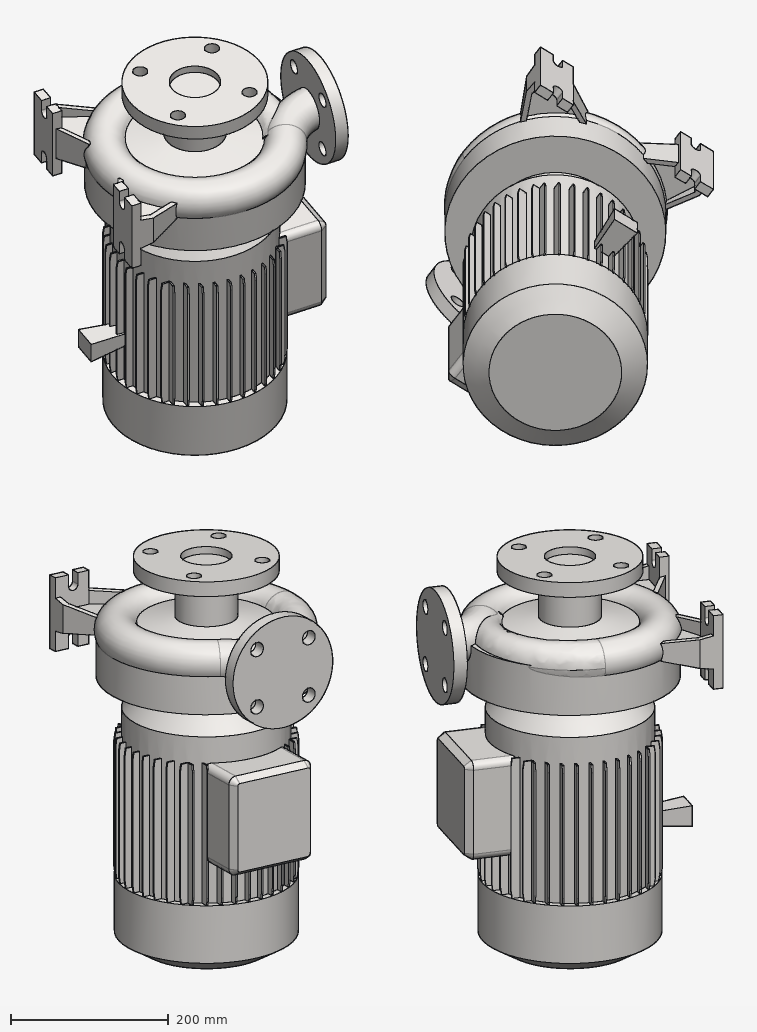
import cadquery as cq
import math


suction_face_z = 100.0
suction_flange_d = 185.0
suction_flange_thick = 20.0
suction_bolt_circle_d = 145.0
suction_bore_d = 65.0
suction_bore_depth = 10.0
suction_neck_r = 40.0

discharge_face_y = 180.0
discharge_flange_d = 150.0
discharge_flange_thick = 18.0
discharge_bolt_circle_d = 110.0

bolt_hole_d = 19.0
bolt_count = 4
bolt_start_angle = 45.0

volute_r = 114.0
tube_r = 28.0
volute_start_angle = 180.0
taper_end_angle = 60.0
taper_sections = 5
taper_path_loss = 10.7
taper_tube_loss = 7.1

casing_r = 140.0
casing_cone_top_z = 19.0
casing_edge_z = 2.5
casing_bottom_z = -62.0
collar_r = 87.5
collar_bottom_z = -75.0
motor_core_r = 107.5
motor_shoulder_z = -104.5
fin_top_z = -140.0
fin_bottom_z = -330.0
cowl_r = 116.8
cowl_bottom_z = -408.0
motor_end_r = 84.0
motor_bottom_z = -428.0

fin_count = 40
fin_thick = 2.2
fin_tip_r = 117.3
fin_bevel_depth = 1.5
fin_bevel_length = 10.0

foot_face_y = -160.0
foot_thick = 13.0
foot_height = 100.0
foot_inner_x = 82.5
foot_outer_x = 133.0
foot_slot_x = 106.0
foot_slot_width = 14.0
foot_slot_depth = 22.5
rib_thick = 8.0
rib_half_height_at_face = 24.7
rib_half_height_at_root = 8.0
rib_root_y = -60.0
outer_rib_bend_y = -129.0
outer_rib_root_x = 100.0
inner_rib_plate_y = -147.0
inner_rib_root_x = 40.0
inner_rib_root_y = -123.0
web_thick = 8.0

box_width = 123.0
box_top_z = -140.0
box_height = 134.0
box_root_y = 80.0
box_face_y = 159.0
box_corner_r = 10.0
box_bevel_depth = 10.0
box_bevel_inset = 7.0

pad_z = -266.0
pad_root_y = -100.0
pad_face_y = -157.5
pad_face_width = 35.0
pad_face_height = 28.0
pad_root_width = 25.0
pad_root_height = 18.0


def turned_body():
    """Casing, collar, motor core and fan cowl as one revolved profile."""
    profile = [
        (0, casing_cone_top_z),
        (suction_neck_r, casing_cone_top_z),
        (casing_r, casing_edge_z),
        (casing_r, casing_bottom_z),
        (collar_r, casing_bottom_z),
        (collar_r, collar_bottom_z),
        (motor_core_r, motor_shoulder_z),
        (motor_core_r, fin_bottom_z),
        (cowl_r, fin_bottom_z),
        (cowl_r, cowl_bottom_z),
        (motor_end_r, motor_bottom_z),
        (0, motor_bottom_z),
    ]
    return cq.Workplane("XZ").polyline(profile).close().revolve(360, (0, 0, 0), (0, 1, 0))


def drill_flange(flange, bolt_circle_d):
    """Drill the bolt holes through a flange from its outer face."""
    return (
        flange.faces(">Z")
        .workplane(origin=(0, 0, 0))
        .polarArray(bolt_circle_d / 2, bolt_start_angle, 360, bolt_count)
        .hole(bolt_hole_d)
    )


def blank_flange(flange_d, thickness):
    """Plain disc lying below the XY plane."""
    return cq.Workplane("XY").circle(flange_d / 2).extrude(-thickness)


def suction_nozzle():
    flange = blank_flange(suction_flange_d, suction_flange_thick)
    flange = drill_flange(flange, suction_bolt_circle_d)
    neck = cq.Workplane("XY").circle(suction_neck_r).extrude(-suction_face_z)
    bore = cq.Workplane("XY").circle(suction_bore_d / 2).extrude(-suction_bore_depth)
    return flange.union(neck).cut(bore).translate((0, 0, suction_face_z))


def discharge_flange():
    flange = blank_flange(discharge_flange_d, discharge_flange_thick)
    flange = drill_flange(flange, discharge_bolt_circle_d)
    return flange.rotate((0, 0, 0), (1, 0, 0), -90).translate((0, discharge_face_y, 0))


def tube_section(angle, path_r, section_r):
    """Circular tube section in the plane that holds Z and the given direction."""
    a = math.radians(angle)
    outward = cq.Vector(math.cos(a), math.sin(a), 0)
    travel = (math.sin(a), -math.cos(a), 0)
    plane = cq.Plane(origin=outward * path_r, xDir=outward, normal=travel)
    return cq.Workplane(plane).circle(section_r)


def volute():
    """Tapered start, constant round tube, and reversed elbow to the discharge face."""
    elbow_r = (discharge_face_y ** 2 - volute_r ** 2) / (2 * volute_r)
    elbow_angle = math.degrees(math.atan2(discharge_face_y, elbow_r))

    tube_sweep = 360 - volute_start_angle + elbow_angle
    ring = (
        cq.Workplane("XZ")
        .center(volute_r, 0)
        .circle(tube_r)
        .revolve(tube_sweep, (-volute_r, 0, 0), (-volute_r, 1, 0))
    )
    ring = ring.rotate((0, 0, 0), (0, 0, 1), volute_start_angle)

    elbow = (
        cq.Workplane("XZ", origin=(0, discharge_face_y, 0))
        .circle(tube_r)
        .revolve(elbow_angle, (elbow_r, 0, 0), (elbow_r, 1, 0))
    )

    wires = []
    for i in range(taper_sections):
        progress = i / (taper_sections - 1)
        section = tube_section(
            volute_start_angle + progress * (taper_end_angle - volute_start_angle),
            volute_r - taper_path_loss * progress ** 2,
            tube_r - taper_tube_loss * progress ** 2,
        )
        wires.append(section.wires().val())
    taper = cq.Workplane(cq.Solid.makeLoft(wires))
    return ring.union(elbow).union(taper)


def slat(offset):
    """Flat plate through the core, parallel to Y; its two projecting ends form opposite fins."""
    tip = math.sqrt(fin_tip_r ** 2 - (abs(offset) + fin_thick / 2) ** 2)
    return (
        cq.Workplane("YZ", origin=(offset, 0, 0))
        .polyline([
            (tip - fin_bevel_depth, fin_bottom_z),
            (tip, fin_bottom_z + fin_bevel_length),
            (tip, fin_top_z - fin_bevel_length),
            (tip - fin_bevel_depth, fin_top_z),
            (fin_bevel_depth - tip, fin_top_z),
            (-tip, fin_top_z - fin_bevel_length),
            (-tip, fin_bottom_z + fin_bevel_length),
            (fin_bevel_depth - tip, fin_bottom_z),
        ])
        .close()
        .extrude(fin_thick / 2, both=True)
    )


def add_fins(body):
    """Add fins parallel to Y at the front and back, and parallel to X at the sides."""
    pitch_angle = 360 / fin_count
    slats_per_direction = fin_count // 4
    slats_along_y = cq.Workplane("XY")
    for i in range(slats_per_direction):
        angle = math.radians((i + 0.5) * pitch_angle - 45)
        slats_along_y = slats_along_y.add(slat(fin_tip_r * math.sin(angle)))
    slats_along_y = slats_along_y.combine()
    slats_along_x = slats_along_y.rotate((0, 0, 0), (0, 0, 1), 90)
    return body.union(slats_along_y).union(slats_along_x)


def prism(points, half_height):
    """Plan outline extruded equally above and below the volute mid-plane."""
    return cq.Workplane("XY").polyline(points).close().extrude(half_height, both=True)


def foot():
    """Right-hand mounting foot: slotted plate, two tapered ribs and the web between them."""
    plate_back_y = foot_face_y + foot_thick
    plate = (
        cq.Workplane("XY")
        .box(foot_outer_x - foot_inner_x, foot_thick, foot_height, centered=False)
        .translate((foot_inner_x, foot_face_y, -foot_height / 2))
    )
    slot = (
        cq.Workplane("XZ", origin=(foot_slot_x, plate_back_y, 0))
        .pushPoints([(0, foot_height / 2), (0, -foot_height / 2)])
        .slot2D(2 * foot_slot_depth, foot_slot_width, 90)
        .extrude(foot_thick)
    )

    rib_taper = (
        cq.Workplane("YZ")
        .polyline([
            (foot_face_y, rib_half_height_at_face),
            (rib_root_y, rib_half_height_at_root),
            (rib_root_y, -rib_half_height_at_root),
            (foot_face_y, -rib_half_height_at_face),
        ])
        .close()
        .extrude(foot_outer_x)
    )
    outer_rib = prism(
        [
            (foot_outer_x, foot_face_y),
            (foot_outer_x, outer_rib_bend_y),
            (outer_rib_root_x, rib_root_y),
            (outer_rib_root_x - rib_thick, rib_root_y),
            (foot_outer_x - rib_thick, outer_rib_bend_y),
            (foot_outer_x - rib_thick, foot_face_y),
        ],
        rib_half_height_at_face,
    )
    inner_rib = prism(
        [
            (foot_inner_x, inner_rib_plate_y),
            (inner_rib_root_x, inner_rib_root_y),
            (inner_rib_root_x, inner_rib_root_y - rib_thick),
            (foot_inner_x, inner_rib_plate_y - rib_thick),
        ],
        rib_half_height_at_face,
    )
    web = prism(
        [
            (foot_inner_x, plate_back_y),
            (foot_outer_x - rib_thick, plate_back_y),
            (foot_outer_x - rib_thick, outer_rib_bend_y),
            (outer_rib_root_x - rib_thick, rib_root_y),
            (inner_rib_root_x, inner_rib_root_y),
        ],
        web_thick / 2,
    )
    ribs = outer_rib.union(inner_rib).intersect(rib_taper)
    return plate.union(ribs).union(web).cut(slot)


def terminal_box():
    """Box on the back of the motor with rounded side edges and a bevelled face."""
    bevel_start_y = box_face_y - box_bevel_depth
    outline = cq.Sketch().rect(box_width, box_height).vertices().fillet(box_corner_r)
    centre_z = box_top_z - box_height / 2
    block = (
        cq.Workplane("XZ", origin=(0, bevel_start_y, centre_z))
        .placeSketch(outline)
        .extrude(bevel_start_y - box_root_y)
    )
    bevel_taper = math.degrees(math.atan2(box_bevel_inset, box_bevel_depth))
    bevel = (
        cq.Workplane("XZ", origin=(0, bevel_start_y, centre_z))
        .placeSketch(outline)
        .extrude(-box_bevel_depth, taper=bevel_taper)
    )
    return block.union(bevel)


def pad():
    """Support pad that widens towards the front."""
    return (
        cq.Workplane("XZ", origin=(0, pad_root_y, pad_z))
        .rect(pad_root_width, pad_root_height)
        .workplane(offset=pad_root_y - pad_face_y)
        .rect(pad_face_width, pad_face_height)
        .loft()
    )


right_foot = foot()
left_foot = right_foot.mirror("YZ")

result = (
    add_fins(turned_body())
    .union(volute())
    .union(suction_nozzle())
    .union(discharge_flange())
    .union(right_foot)
    .union(left_foot)
    .union(terminal_box())
    .union(pad())
)